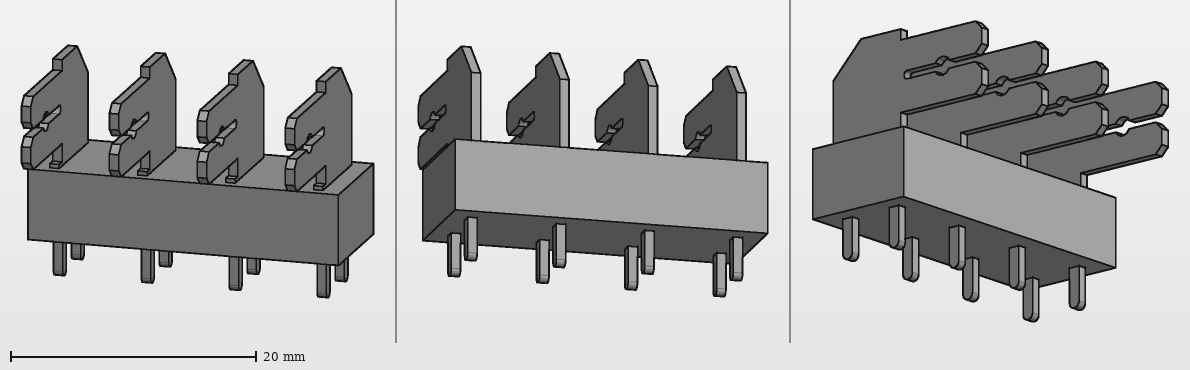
import cadquery as cq

housing_length = 26.5
housing_depth = 9.8
housing_height = 6.0

terminal_count = 4
terminal_pitch = 7.5
terminal_thickness = 0.8

plate_height = 9.0
plate_width = 7.3
plate_back_inset = 0.82
plate_back_y = housing_depth - plate_back_inset
plate_front_y = plate_back_y - plate_width
plate_chamfer = 3.02

foot_height = 0.35
foot_length = 0.8

tab_overhang = 7.05
tab_tip_y = -tab_overhang
tab_width = 6.2
tab_center_height = 4.98
tab_center_z = housing_height + tab_center_height
tab_chamfer = 0.7

slot_width = 0.72
slot_end_distance = 0.37
slot_end_y = plate_front_y - slot_end_distance
detent_diameter = 1.6
detent_tip_distance = 4.27
detent_y = tab_tip_y + detent_tip_distance

pin_width = 1.03
pin_length = 3.5
pin_spacing = 5.0
back_pin_inset = 2.38
back_pin_y = housing_depth - back_pin_inset
pin_centers_y = [back_pin_y, back_pin_y - pin_spacing]

terminal_centers_x = [
    (index - (terminal_count - 1) / 2) * terminal_pitch for index in range(terminal_count)
]


def side_sketch(center_x):
    """Workplane of (y, z) coordinates on the -X face of the terminal at center_x."""
    return cq.Workplane("YZ", origin=(center_x - terminal_thickness / 2, 0, 0))


def side_block(center_x, y_min, y_max, z_min, z_max):
    """Rectangular block, one terminal thick, between the given Y and Z limits."""
    return (
        side_sketch(center_x)
        .center((y_min + y_max) / 2, (z_min + z_max) / 2)
        .rect(y_max - y_min, z_max - z_min)
        .extrude(terminal_thickness)
    )


def make_plate(center_x):
    """Upright plate with a bevelled top back corner and a low foot in front."""
    plate = side_block(
        center_x, plate_front_y, plate_back_y, housing_height, housing_height + plate_height
    )
    plate = plate.edges("|X and >Z and >Y").chamfer(plate_chamfer)
    foot = side_block(
        center_x,
        plate_front_y - foot_length,
        plate_front_y,
        housing_height,
        housing_height + foot_height,
    )
    return plate.union(foot)


def make_prong(center_x, direction):
    """One prong of the forked tab: direction is 1 for the upper one, -1 for the lower one."""
    inner_z = tab_center_z + direction * slot_width / 2
    outer_z = tab_center_z + direction * tab_width / 2
    prong = side_block(
        center_x, tab_tip_y, plate_front_y, min(inner_z, outer_z), max(inner_z, outer_z)
    )
    return prong.edges("|X and <Y").chamfer(tab_chamfer)


def make_tab(center_x):
    """Two prongs joined behind a round-ended slot that widens into a round detent."""
    slot_round_y = slot_end_y - slot_width / 2
    slot_floor = side_block(
        center_x,
        slot_round_y,
        plate_front_y,
        tab_center_z - slot_width / 2,
        tab_center_z + slot_width / 2,
    )
    slot_round = (
        side_sketch(center_x)
        .center(slot_round_y, tab_center_z)
        .circle(slot_width / 2)
        .extrude(terminal_thickness)
    )
    detent = (
        side_sketch(center_x)
        .center(detent_y, tab_center_z)
        .circle(detent_diameter / 2)
        .extrude(terminal_thickness)
    )
    upper_prong = make_prong(center_x, 1)
    lower_prong = make_prong(center_x, -1)
    return upper_prong.union(lower_prong).union(slot_floor).cut(slot_round).cut(detent)


def make_pin(center_x, center_y):
    """Solder pin through the housing with a fully rounded lower end."""
    pin_round_z = pin_width / 2 - pin_length
    shank = side_block(
        center_x, center_y - pin_width / 2, center_y + pin_width / 2, pin_round_z, housing_height
    )
    rounded_end = (
        side_sketch(center_x)
        .center(center_y, pin_round_z)
        .circle(pin_width / 2)
        .extrude(terminal_thickness)
    )
    return shank.union(rounded_end)


def make_terminal(center_x):
    """Flat terminal: plate and foot on the housing, forked tab in front, two pins below."""
    terminal = make_plate(center_x).union(make_tab(center_x))
    for center_y in pin_centers_y:
        terminal = terminal.union(make_pin(center_x, center_y))
    return terminal


def make_housing():
    """Plain block with one rectangular through hole for every pin."""
    block = cq.Workplane("XY").box(
        housing_length, housing_depth, housing_height, centered=(True, False, False)
    )
    hole_centers = [(x, y) for x in terminal_centers_x for y in pin_centers_y]
    pin_holes = (
        cq.Workplane("XY")
        .pushPoints(hole_centers)
        .rect(terminal_thickness, pin_width)
        .extrude(housing_height)
    )
    return block.cut(pin_holes)


housing = make_housing()
terminals = [make_terminal(center_x) for center_x in terminal_centers_x]

result = cq.Compound.makeCompound(
    [housing.val(), *[terminal.val() for terminal in terminals]]
)